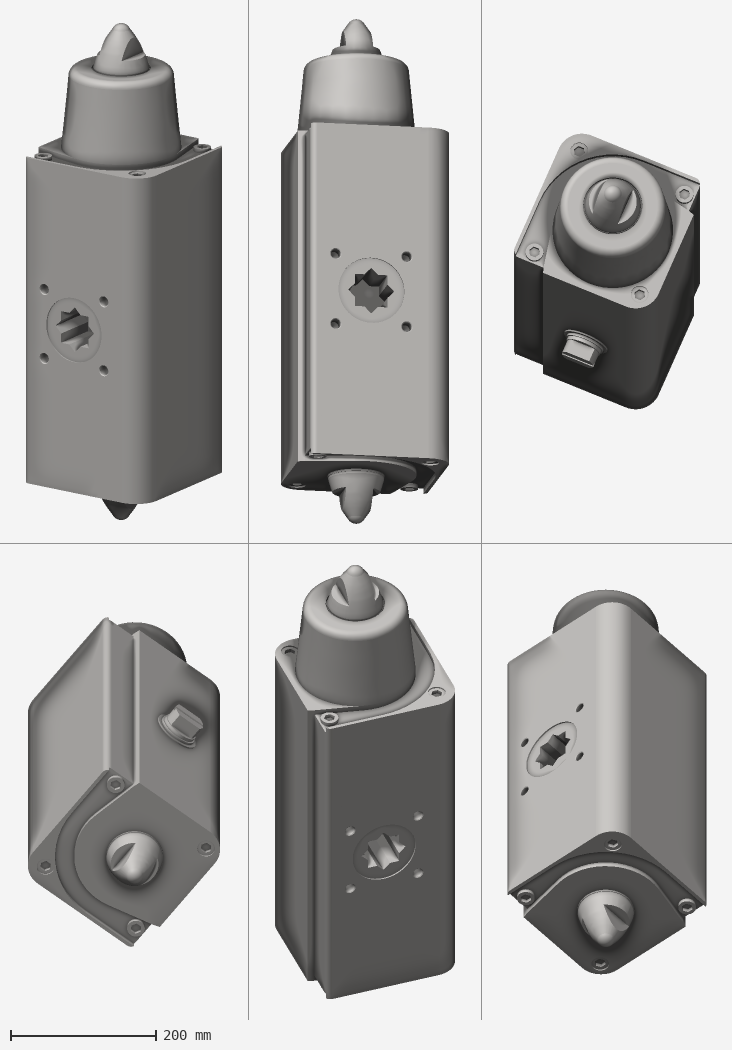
import cadquery as cq
import math


near_side = 93.5
far_side = 114.0
block_height = 469.0
half_height = block_height / 2
step_inset = 9.0
step_start = 64.0
step_end = 67.0
large_corner_radius = 34.0
small_corner_radius = 8.5

recess_depth = 8.0
recess_radius = 109.0

cap_height = 114.0
cap_base_radius = 83.0
cap_top_radius = 71.5
cap_edge_radius = 11.0

knob_height = 68.0
knob_foot_radius = 39.0
knob_foot_height = 3.0
knob_neck_height = 6.0
knob_base_radius = 38.5
knob_flank_radius = 23.5
knob_flank_height = 43.0
knob_dome_radius = 12.0
knob_dome_start = 60.0
knob_flat_height = 23.5
knob_blade_width = 38.0
knob_seat_depth = 4.0
knob_seat_radius = 41.0

screw_offset_near = 70.0
screw_offset_far = 87.0
screw_head_diameter = 24.0
screw_head_sink = 2.0
screw_socket_width = 13.5
screw_socket_depth = 6.0

mount_spacing = 99.0
mount_diameter = 13.5
mount_rim_diameter = 16.0
mount_depth = 18.0
drill_point_angle = 118

shaft_diameter = 92.0
shaft_front_sink = 2.0
shaft_shoulder_y = 71.5
journal_diameter = 64.0
flange_height = 2.0
ring_diameter = 54.0
ring_height = 3.5
collar_diameter = 50.0
collar_height = 5.0
stub_diameter = 47.0
stub_across_flats = 32.0
stub_end_y = 123.5
stub_slot_width = 5.0
stub_slot_depth = 5.0
star_tip_diameter = 64.0
star_depth = 64.0


def block():
    notch = near_side - step_inset
    outline = [
        (-near_side, near_side),
        (step_start, near_side),
        (step_end, notch),
        (far_side, notch),
        (far_side, -far_side),
        (-notch, -far_side),
        (-notch, -step_end),
        (-near_side, -step_start),
    ]
    body = cq.Workplane("XY").workplane(offset=-half_height).polyline(outline).close().extrude(block_height)
    corners = [
        (-near_side, near_side, large_corner_radius),
        (far_side, -far_side, large_corner_radius),
        (far_side, notch, small_corner_radius),
        (-notch, -far_side, small_corner_radius),
    ]
    for x, y, radius in corners:
        body = body.edges(cq.selectors.NearestToPointSelector((x, y, 0))).fillet(radius)
    return body


def top_recess():
    """Recess between the raised platform and the outer arc, on the upper end face."""
    floor = half_height - recess_depth
    beyond = 2 * far_side
    inside_arc = (
        cq.Workplane("XY").workplane(offset=floor)
        .moveTo(-beyond, -recess_radius)
        .lineTo(0, -recess_radius)
        .radiusArc((recess_radius, 0), -recess_radius)
        .lineTo(recess_radius, beyond)
        .lineTo(-beyond, beyond)
        .close().extrude(recess_depth)
    )
    notch = near_side - step_inset
    notch_angle = math.atan2(step_end, notch)
    tangent_angle = math.acos(cap_base_radius / math.hypot(notch, step_end))
    contact_angle = math.pi + notch_angle + tangent_angle
    contact_x = cap_base_radius * math.cos(contact_angle)
    contact_y = cap_base_radius * math.sin(contact_angle)
    arc_middle = cap_base_radius / math.sqrt(2)
    platform = (
        cq.Workplane("XY").workplane(offset=floor)
        .moveTo(-beyond, -step_start)
        .lineTo(-near_side, -step_start)
        .lineTo(-notch, -step_end)
        .lineTo(contact_x, contact_y)
        .threePointArc((arc_middle, -arc_middle), (-contact_y, -contact_x))
        .lineTo(step_end, notch)
        .lineTo(step_start, near_side)
        .lineTo(step_start, beyond)
        .lineTo(-beyond, beyond)
        .close().extrude(recess_depth)
    )
    return inside_arc.cut(platform)


def on_both_ends(shape):
    return shape.union(shape.mirror("XY"))


def at_screws(plane):
    near, far = screw_offset_near, screw_offset_far
    return plane.pushPoints([(-near, near), (far, near), (-near, -far), (far, -far)])


def add_screw_heads(body):
    floor = cq.Workplane("XY").workplane(offset=half_height - recess_depth)
    head_top = cq.Workplane("XY").workplane(offset=half_height - screw_head_sink)
    socket_corner_diameter = screw_socket_width / math.cos(math.pi / 6)
    counterbores = at_screws(floor).circle(screw_head_diameter / 2).extrude(recess_depth)
    heads = at_screws(floor).circle(screw_head_diameter / 2).extrude(recess_depth - screw_head_sink)
    sockets = at_screws(head_top).polygon(6, socket_corner_diameter).extrude(-screw_socket_depth)
    return body.cut(on_both_ends(counterbores)).union(on_both_ends(heads.cut(sockets)))


def end_cap():
    cap = (
        cq.Workplane("XZ")
        .polyline([(0, 0), (cap_base_radius, 0), (cap_top_radius, cap_height), (0, cap_height)])
        .close().revolve(360, (0, 0), (0, 1))
        .faces(">Z").edges().fillet(cap_edge_radius)
    )
    seat = cq.Workplane("XY").workplane(offset=cap_height).circle(knob_seat_radius).extrude(-knob_seat_depth)
    return cap.cut(seat).translate((0, 0, half_height))


def knob():
    dome_rise = knob_height - knob_dome_start
    dome_sphere = (knob_dome_radius**2 + dome_rise**2) / (2 * dome_rise)
    turned = (
        cq.Workplane("XZ")
        .lineTo(knob_foot_radius, 0)
        .lineTo(knob_foot_radius, knob_foot_height)
        .lineTo(knob_base_radius, knob_foot_height)
        .lineTo(knob_base_radius, knob_neck_height)
        .threePointArc((knob_flank_radius, knob_flank_height), (knob_dome_radius, knob_dome_start))
        .radiusArc((0, knob_height), -dome_sphere)
        .close().revolve(360, (0, 0), (0, 1))
    )
    blade_zone = cq.Workplane("XY").workplane(offset=knob_flat_height)
    outside = blade_zone.circle(2 * knob_base_radius).extrude(knob_height)
    blade = blade_zone.rect(knob_blade_width, 4 * knob_base_radius).extrude(knob_height)
    return turned.cut(outside.cut(blade))


def front_plane(y):
    """Sketch plane at the given Y whose normal points to +Y."""
    return cq.Workplane(cq.Plane(origin=(0, y, 0), xDir=(1, 0, 0), normal=(0, 1, 0)))


def mounting_holes():
    radius = mount_diameter / 2
    rim_radius = mount_rim_diameter / 2
    rim_depth = rim_radius - radius
    point_depth = radius / math.tan(math.radians(drill_point_angle / 2))
    hole = (
        cq.Workplane("XY")
        .polyline([
            (0, 0),
            (rim_radius, 0),
            (radius, rim_depth),
            (radius, mount_depth),
            (0, mount_depth + point_depth),
        ])
        .close().revolve(360, (0, 0), (0, 1))
    )
    holes = cq.Workplane("XY")
    offset = mount_spacing / 2
    for x in (-offset, offset):
        for z in (-offset, offset):
            holes = holes.add(hole.translate((x, -far_side, z)))
    return holes.combine()


def shaft_bore():
    main = front_plane(-far_side).circle(shaft_diameter / 2).extrude(far_side + shaft_shoulder_y)
    rear = front_plane(shaft_shoulder_y).circle(journal_diameter / 2).extrude(near_side - shaft_shoulder_y)
    return main.union(rear)


def make_housing():
    body = block().cut(on_both_ends(top_recess()))
    body = add_screw_heads(body)
    body = body.union(end_cap())
    cap_top = half_height + cap_height
    upper_knob = knob().translate((0, 0, cap_top - knob_seat_depth))
    lower_knob = knob().mirror("XY").translate((0, 0, -half_height))
    body = body.union(upper_knob).union(lower_knob)
    return body.cut(shaft_bore()).cut(mounting_holes())


def star_socket(front):
    square_side = star_tip_diameter / math.sqrt(2)
    square = front_plane(front).rect(square_side, square_side).extrude(star_depth)
    return square.union(square.rotate((0, 0, 0), (0, 1, 0), 45))


def make_shaft():
    front = shaft_front_sink - far_side
    flange_end = near_side + flange_height
    ring_end = flange_end + ring_height
    collar_end = ring_end + collar_height
    turned = (
        cq.Workplane("XY")
        .moveTo(0, front)
        .lineTo(shaft_diameter / 2, front)
        .lineTo(shaft_diameter / 2, shaft_shoulder_y)
        .lineTo(journal_diameter / 2, shaft_shoulder_y)
        .lineTo(journal_diameter / 2, flange_end)
        .lineTo(ring_diameter / 2, flange_end)
        .lineTo(ring_diameter / 2, ring_end)
        .lineTo(collar_diameter / 2, ring_end)
        .lineTo(collar_diameter / 2, collar_end)
        .lineTo(0, collar_end)
        .close().revolve(360, (0, 0), (0, 1))
    )
    stub_length = stub_end_y - collar_end
    flats = front_plane(collar_end).rect(stub_diameter, stub_across_flats).extrude(stub_length)
    stub = front_plane(collar_end).circle(stub_diameter / 2).extrude(stub_length).intersect(flats)
    slot = front_plane(stub_end_y).rect(stub_diameter, stub_slot_width).extrude(-stub_slot_depth)
    return turned.union(stub.cut(slot)).cut(star_socket(front))


housing = make_housing()
shaft = make_shaft()
result = cq.Compound.makeCompound([housing.val(), shaft.val()])